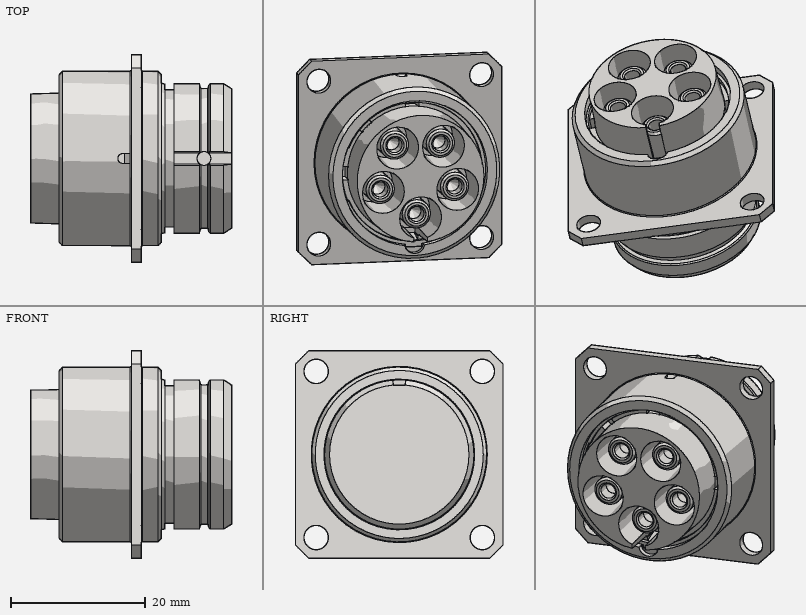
import cadquery as cq
import math


flange_size = 31.0
flange_front = 15.0
flange_thickness = 1.5
flange_back = flange_front + flange_thickness
flange_corner_cut = 2.0
mount_hole_pitch = 24.8
mount_hole_diameter = 3.6

total_length = 30.0
shell_front = 4.2
shell_radius = 13.04
shell_front_chamfer = 0.55
root_flare = 0.11
root_length = 0.2
collar_back = 19.5
collar_chamfer = 0.5
taper_front_radius = 11.25
taper_back_radius = 11.12
taper_back = 20.0
neck_radius = 10.28
ring_front = 21.35
ring_radius = 11.18
ring_end_chamfer_length = 1.2
ring_end_radius = 10.4
groove_front = 25.15
groove_floor_front = 25.4
groove_floor_back = 26.4
groove_back = 26.6
groove_radius = 10.45
groove_lip_chamfer = 0.2

lip_radius = 11.05
lip_depth = 1.3
bore_radius = 10.55
bore_floor = 6.3
recess_radius = 10.75
recess_half_angle = 22.5

insert_front_radius = 9.65
insert_base_radius = 9.84

socket_count = 5
socket_circle_radius = 5.95
pocket_mouth_radius = 3.18
pocket_floor_radius = 3.0
pocket_depth = 8.0
contact_radius = 2.15
contact_tip_depth = 2.0
low_contact_tip_depth = 2.8
contact_chamfer = 0.35
contact_hole_radius = 1.14
contact_countersink = 0.25
contact_hole_depth = 2.5
contact_cone_depth = 1.2

keyway_angles = (-180, 0, 45, 90)
keyway_width = 2.06
keyway_end = 9.0

ramp_width = 1.75
ramp_inner_radius = 9.94

mouth_notch_radius = 1.5
mouth_notch_outer_reach = 12.18
mouth_notch_depth = 1.0
mouth_step_width = 2.5
mouth_step_reach = 11.37

pointer_front = 13.0
pointer_width = 1.46
pointer_depth = 0.75
pointer_ramp_front = 14.0
pointer_back = flange_front - root_length

channel_mouth_width = 2.06
channel_floor_width = 1.67
channel_floor_height = 10.35
spot_radius = channel_mouth_width / 2
spot_height = 10.3
spot_x = 25.85

CUT_MARGIN = 1.0


def cylinder(x_start, x_end, radius, y=0.0, z=0.0):
    """Solid cylinder along X."""
    length = x_end - x_start
    return cq.Workplane("YZ", origin=(x_start, y, z)).circle(radius).extrude(length)


def cone(x_start, x_end, radius_start, radius_end, y=0.0, z=0.0):
    """Solid cone or frustum along X."""
    axis_start = cq.Vector(x_start, y, z)
    return cq.Workplane(
        cq.Solid.makeCone(radius_start, radius_end, x_end - x_start, axis_start, cq.Vector(1, 0, 0))
    )


def block(x_start, x_end, y_start, y_end, z_start, z_end):
    """Axis-aligned block between two corners."""
    size = (x_end - x_start, y_end - y_start, z_end - z_start)
    return cq.Workplane("XY").box(*size, centered=False).translate((x_start, y_start, z_start))


def make_shell():
    """Turned shell outside as one half profile revolved about X."""
    flare_radius = shell_radius + root_flare
    profile = [
        (shell_front, 0),
        (shell_front, shell_radius - shell_front_chamfer),
        (shell_front + shell_front_chamfer, shell_radius),
        (flange_front - root_length, shell_radius),
        (flange_front, flare_radius),
        (flange_back, flare_radius),
        (flange_back + root_length, shell_radius),
        (collar_back - collar_chamfer, shell_radius),
        (collar_back, shell_radius - collar_chamfer),
        (collar_back, taper_front_radius),
        (taper_back, taper_back_radius),
        (taper_back, neck_radius),
        (ring_front, neck_radius),
        (ring_front, ring_radius),
        (groove_front, ring_radius),
        (groove_floor_front, groove_radius),
        (groove_floor_back, groove_radius),
        (groove_back, ring_radius - groove_lip_chamfer),
        (groove_back + groove_lip_chamfer, ring_radius),
        (total_length - ring_end_chamfer_length, ring_radius),
        (total_length, ring_end_radius),
        (total_length, 0),
    ]
    return cq.Workplane("XY").polyline(profile).close().revolve(360, (0, 0, 0), (1, 0, 0))


def make_flange():
    """Square plate with cut corners and four mounting holes."""
    return (
        cq.Workplane("YZ", origin=(flange_front, 0, 0))
        .rect(flange_size, flange_size)
        .extrude(flange_thickness)
        .edges("|X")
        .chamfer(flange_corner_cut)
        .faces("<X")
        .workplane(centerOption="CenterOfBoundBox")
        .rect(mount_hole_pitch, mount_hole_pitch, forConstruction=True)
        .vertices()
        .hole(mount_hole_diameter)
    )


def make_bore():
    """Space inside the shell mouth: wide lip, then the deep bore."""
    lip = cylinder(shell_front, shell_front + lip_depth, lip_radius)
    return lip.union(cylinder(shell_front, bore_floor, bore_radius)).union(make_bore_recess())


def make_bore_recess():
    """Sector on the +Y side where the bore is a little wider."""
    half_angle = math.radians(recess_half_angle)
    corner_y = recess_radius * math.cos(half_angle)
    corner_z = recess_radius * math.sin(half_angle)
    return (
        cq.Workplane("YZ", origin=(shell_front, 0, 0))
        .lineTo(corner_y, -corner_z)
        .threePointArc((recess_radius, 0), (corner_y, corner_z))
        .close()
        .extrude(bore_floor - shell_front)
    )


def make_mouth_notch():
    """Round notch at the bottom of the mouth, with a deeper flat step inside it."""
    notch_z = mouth_notch_radius - mouth_notch_outer_reach
    notch = cylinder(shell_front, shell_front + mouth_notch_depth, mouth_notch_radius, 0, notch_z)
    half_width = mouth_step_width / 2
    step_end = shell_front + lip_depth
    step = block(shell_front, step_end, -half_width, half_width, -mouth_step_reach, notch_z)
    return notch.union(step)


def make_keyways():
    """Flat-bottomed keyways between the insert and the bore wall; the +Y one meets the recess."""
    half_width = keyway_width / 2
    keyways = cq.Workplane("XY")
    for angle in keyway_angles:
        outer_radius = recess_radius if angle == 0 else bore_radius
        bar = block(bore_floor, keyway_end, insert_front_radius, outer_radius, -half_width, half_width)
        bar = bar.intersect(cylinder(bore_floor, keyway_end, outer_radius))
        keyways = keyways.add(bar.rotate((0, 0, 0), (1, 0, 0), angle))
    return keyways.combine()


def make_bottom_keyway():
    """Slot through the lowest pocket wall, with a ramp from its end out to the bore wall."""
    half_width = keyway_width / 2
    pocket_edge = socket_circle_radius + pocket_floor_radius
    opening = block(0, pocket_depth, -half_width, half_width, -ramp_inner_radius, -socket_circle_radius)
    slot = block(0, keyway_end, -half_width, half_width, -ramp_inner_radius, -pocket_edge)
    ramp = (
        cq.Workplane("XZ")
        .moveTo(bore_floor, -ramp_inner_radius)
        .lineTo(keyway_end, -ramp_inner_radius)
        .lineTo(bore_floor, -bore_radius)
        .close()
        .extrude(ramp_width / 2, both=True)
    )
    return slot.union(opening).union(ramp)


def make_contact(tip, y, z):
    """Socket contact with a chamfered tip and a countersunk, cone-bottomed hole."""
    mouth_radius = contact_hole_radius + contact_countersink
    hole_end = tip + contact_hole_depth
    body = cylinder(tip, pocket_depth, contact_radius, y, z).faces("<X").chamfer(contact_chamfer)
    countersink = cone(tip, tip + contact_countersink, mouth_radius, contact_hole_radius, y, z)
    hole = cylinder(tip, hole_end, contact_hole_radius, y, z)
    hole_tip = cone(hole_end, hole_end + contact_cone_depth, contact_hole_radius, 0, y, z)
    return body.cut(countersink).cut(hole).cut(hole_tip)


def add_sockets(body):
    """Cut the drafted pockets and stand a contact in each; the lowest contact sits deeper."""
    for index in range(socket_count):
        angle = math.radians(-90 + index * 360 / socket_count)
        y = socket_circle_radius * math.cos(angle)
        z = socket_circle_radius * math.sin(angle)
        tip = low_contact_tip_depth if index == 0 else contact_tip_depth
        pocket = cone(0, pocket_depth, pocket_mouth_radius, pocket_floor_radius, y, z)
        body = body.cut(pocket).union(make_contact(tip, y, z))
    return body


def make_pointer_notch():
    """Round-ended notch on top of the shell; its floor ramps up towards the flange."""
    end_radius = pointer_width / 2
    floor = shell_radius - pointer_depth
    top = shell_radius + CUT_MARGIN
    outline = (
        cq.Workplane("XY", origin=(0, 0, floor))
        .moveTo(pointer_back, -end_radius)
        .lineTo(pointer_front + end_radius, -end_radius)
        .threePointArc((pointer_front, 0), (pointer_front + end_radius, end_radius))
        .lineTo(pointer_back, end_radius)
        .close()
        .extrude(top - floor)
    )
    ramp = (
        cq.Workplane("XZ")
        .moveTo(pointer_ramp_front, floor)
        .lineTo(pointer_back, floor)
        .lineTo(pointer_back, shell_radius)
        .close()
        .extrude(end_radius, both=True)
    )
    return outline.cut(ramp)


def make_rear_channel():
    """Tapered channel along the top of the rear ring, with a round spot at the groove."""
    channel = (
        cq.Workplane("YZ", origin=(ring_front, 0, 0))
        .moveTo(-channel_floor_width / 2, channel_floor_height)
        .lineTo(channel_floor_width / 2, channel_floor_height)
        .lineTo(channel_mouth_width / 2, ring_radius)
        .lineTo(channel_mouth_width / 2, ring_radius + CUT_MARGIN)
        .lineTo(-channel_mouth_width / 2, ring_radius + CUT_MARGIN)
        .lineTo(-channel_mouth_width / 2, ring_radius)
        .close()
        .extrude(total_length - ring_front)
    )
    spot = (
        cq.Workplane("XY", origin=(spot_x, 0, spot_height))
        .circle(spot_radius)
        .extrude(ring_radius + CUT_MARGIN - spot_height)
    )
    return channel.union(spot)


shell = make_shell().union(make_flange())
shell = shell.cut(make_bore()).cut(make_mouth_notch())
shell = shell.cut(make_pointer_notch()).cut(make_rear_channel())

insert = cone(0, bore_floor, insert_front_radius, insert_base_radius)
result = shell.union(insert)
result = result.cut(make_keyways()).cut(make_bottom_keyway())
result = add_sockets(result)